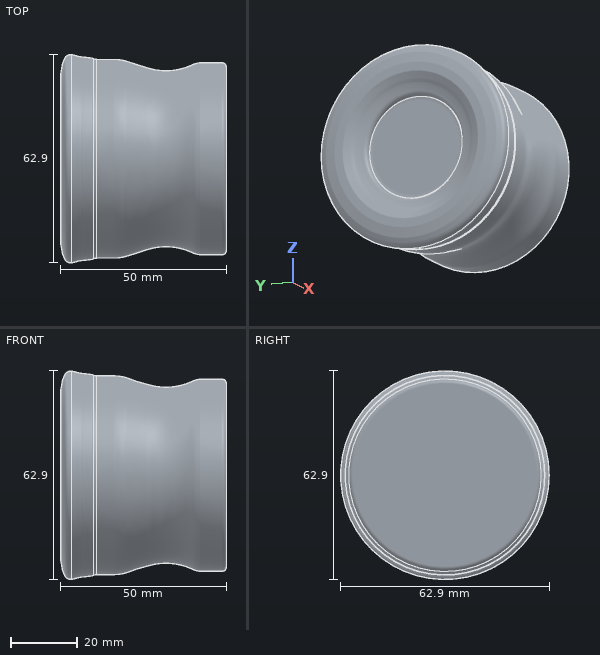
import cadquery as cq
import math


length = 50.0
eyecup_radius = 31.45

shoulder_radius = 60.0 / 2
taper_radius = 58.8 / 2
collar_radius = 58.0 / 2
shoulder_end = 16.1
taper_start = 19.95
waist_start = 26.1
waist_end, waist_end_radius = 39.75, 28.4
collar_start = 42.1
collar_fillet = 1.4

neck_radius = 27.7
lens_x = 4.1
lens_radius = 14.55
opening_radius = 15.7
dish_angle = math.radians(15)
dish_width = opening_radius - lens_radius
neck_front_x = lens_x - dish_width * math.tan(dish_angle / 2)

taper_angle = 2 * math.atan2(shoulder_radius - taper_radius, taper_start - shoulder_end)
waist_start_radius = taper_radius - (waist_start - taper_start) * math.tan(taper_angle)

eyecup_rear = (10.9, shoulder_radius)
hem = (10.0, 30.15)
band_rear = (9.55, 30.4)
band_front = (7.5, 30.65)
ridge = (6.2, 30.75)
hollow = (5.2, 30.95)
skirt_front = (4.35, 31.2)
crest = (3.35, eyecup_radius)

cheek = (1.2, 30.2)
brow = (0.55, 28.75)
lip_outer = (0.0, 25.55)
lip_inner = (0.0, 22.8)

funnel_end = (0.9, 20.6)
step = (1.4, 19.55)
ledge = (1.65, 18.9)
shelf = (1.95, 17.85)
throat = (2.2, 16.9)
opening = (neck_front_x, opening_radius)

corner_setback = 0.1


def turned(profile):
    """Close a profile and revolve it about the X axis."""
    return profile.close().revolve(360, (0, 0, 0), (1, 0, 0))


def point_towards(start, end, distance):
    """Point at a given distance from start on the way to end."""
    share = distance / math.dist(start, end)
    return (start[0] + share * (end[0] - start[0]), start[1] + share * (end[1] - start[1]))


def softened(profile, before, corner, after):
    """Draw a line to a corner and round it with a small tangent arc."""
    arc_start = point_towards(corner, before, corner_setback)
    arc_end = point_towards(corner, after, corner_setback)
    return profile.lineTo(*arc_start).tangentArcPoint(arc_end, relative=False)


def make_barrel():
    profile = (
        cq.Workplane("XY")
        .moveTo(lens_x, 0)
        .lineTo(lens_x, lens_radius)
        .tangentArcPoint(opening, relative=False)
        .lineTo(neck_front_x, neck_radius)
        .lineTo(eyecup_rear[0], neck_radius)
        .lineTo(*eyecup_rear)
        .lineTo(shoulder_end, shoulder_radius)
        .tangentArcPoint((taper_start, taper_radius), relative=False)
        .lineTo(waist_start, waist_start_radius)
        .tangentArcPoint((waist_end, waist_end_radius), relative=False)
        .tangentArcPoint((collar_start, collar_radius), relative=False)
        .lineTo(length - collar_fillet, collar_radius)
        .tangentArcPoint((length, collar_radius - collar_fillet), relative=False)
        .lineTo(length, 0)
    )
    return turned(profile)


def make_eyecup():
    profile = (
        cq.Workplane("XY")
        .moveTo(*opening)
        .lineTo(neck_front_x, neck_radius)
        .lineTo(eyecup_rear[0], neck_radius)
        .lineTo(*eyecup_rear)
    )

    profile = profile.lineTo(*hem)
    profile = softened(profile, hem, band_rear, band_front)
    profile = softened(profile, band_rear, band_front, ridge)
    profile = profile.lineTo(*ridge).lineTo(*hollow)

    profile = softened(profile, hollow, skirt_front, crest)

    cheek_slope = (brow[0] - cheek[0], brow[1] - cheek[1])
    profile = profile.lineTo(*crest).spline(
        [cheek], tangents=[(-1, 0), cheek_slope], includeCurrent=True
    )

    profile = softened(profile, cheek, brow, lip_outer)
    profile = softened(profile, brow, lip_outer, lip_inner)
    profile = softened(profile, lip_outer, lip_inner, funnel_end)

    profile = softened(profile, lip_inner, funnel_end, step)
    profile = profile.lineTo(*step).lineTo(*ledge)
    profile = softened(profile, ledge, shelf, throat)
    profile = profile.lineTo(*throat).tangentArcPoint(opening, relative=False)
    return turned(profile)


barrel = make_barrel()
eyecup = make_eyecup()
result = cq.Compound.makeCompound([barrel.val(), eyecup.val()])